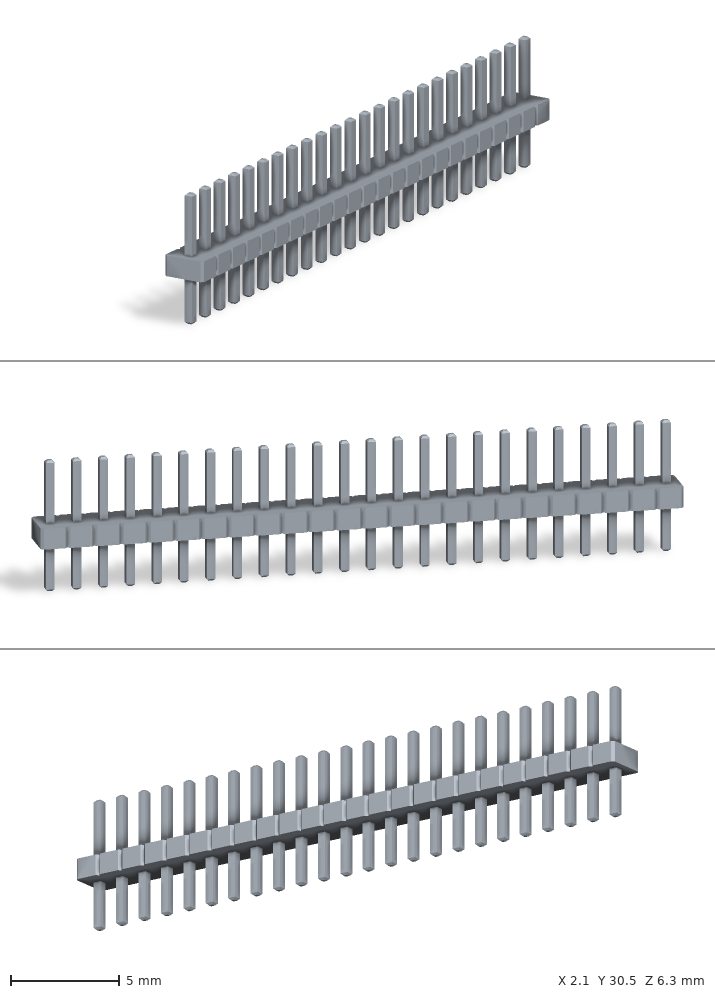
import cadquery as cq


pin_count = 24
pitch = 1.27
body_width = 2.1
body_height = 1.0
corner_chamfer = 0.127
pin_side = 0.4
pin_above_body = 3.0
pin_below_body = 2.3
pin_tip_chamfer = 0.1

pin_length = pin_below_body + body_height + pin_above_body
first_pin_y = -pitch * (pin_count - 1) / 2
pin_positions = [(0, first_pin_y + index * pitch) for index in range(pin_count)]


def make_body_segment(position):
    """One pitch of the insulator; its chamfered corners form the V notches of the strip."""
    return (
        cq.Workplane("XY")
        .center(*position)
        .rect(body_width, pitch)
        .extrude(body_height)
        .edges("|Z")
        .chamfer(corner_chamfer)
    )


def make_pin(position):
    """One square pin with all four edges of both tips chamfered."""
    return (
        cq.Workplane("XY", origin=(0, 0, -pin_below_body))
        .center(*position)
        .rect(pin_side, pin_side)
        .extrude(pin_length)
        .faces("<Z or >Z")
        .edges()
        .chamfer(pin_tip_chamfer)
    )


def make_header():
    """Join every body segment and pin into one solid."""
    header = make_body_segment(pin_positions[0])
    for position in pin_positions[1:]:
        header = header.union(make_body_segment(position))
    header = header.clean()
    for position in pin_positions:
        header = header.union(make_pin(position))
    return header


result = make_header()